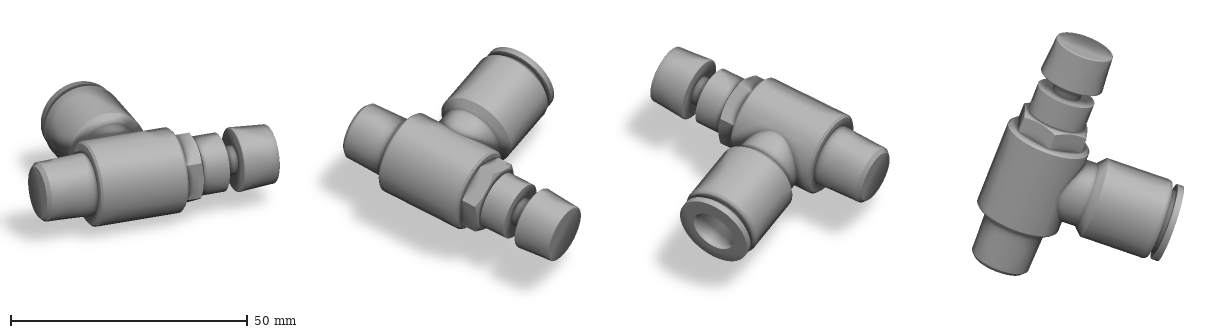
import cadquery as cq
import math


body_diameter = 18.4
body_length = 19.75
body_chamfer = 0.45
body_top = body_length / 2
body_bottom = -body_length / 2

plug_length = 11.1
plug_base_diameter = 13.55
plug_tip_diameter = 12.8
plug_end_diameter = 11.2
plug_chamfer_length = 0.85

hex_across_flats = 14.05
hex_height = 4.15
hex_top_bevel = 0.6
hex_bottom_bevel = 0.3
neck_diameter = 11.2
neck_length = 0.35
collar_diameter = 12.7
collar_length = 5.8
stem_diameter = 6.35
stem_length = 3.1
knob_length = 8.3
knob_base_diameter = 13.95
knob_top_diameter = 12.7
knob_edge_radius = 0.3

port_reach = 30.9
release_ring_diameter = 16.8
release_ring_length = 1.35
sleeve_diameter = 17.6
port_neck_diameter = 14.1
sleeve_start = 2.55
sleeve_lip_length = 1.25
sleeve_lip_drop = 0.4
sleeve_end = 17.25
port_cone_length = (sleeve_diameter - port_neck_diameter) / 2
bore_diameter = 10.0


def frustum(start, length, start_diameter, end_diameter):
    """Round section along +Y, straight or tapered."""
    return (
        cq.Workplane("XY")
        .moveTo(0, start)
        .lineTo(start_diameter / 2, start)
        .lineTo(end_diameter / 2, start + length)
        .lineTo(0, start + length)
        .close()
        .revolve(360, (0, 0, 0), (0, 1, 0))
    )


def cylinder(start, length, diameter):
    return frustum(start, length, diameter, diameter)


def make_body():
    return cylinder(body_bottom, body_length, body_diameter).faces("<Y or >Y").chamfer(body_chamfer)


def make_plug():
    tip = body_bottom - plug_length
    shoulder = tip + plug_chamfer_length
    taper = frustum(shoulder, body_bottom - shoulder, plug_tip_diameter, plug_base_diameter)
    return taper.union(frustum(tip, plug_chamfer_length, plug_end_diameter, plug_tip_diameter))


def make_hex():
    """Hexagonal nut with two flats facing +X and -X and its corners bevelled at both ends."""
    corner_diameter = hex_across_flats / math.cos(math.pi / 6)
    prism = (
        cq.Workplane("XZ", origin=(0, body_top, 0))
        .transformed(rotate=(0, 0, 30))
        .polygon(6, corner_diameter)
        .extrude(-hex_height)
    )
    hex_top = body_top + hex_height
    envelope = (
        cq.Workplane("XY")
        .moveTo(0, body_top)
        .lineTo(hex_across_flats / 2, body_top)
        .lineTo(corner_diameter / 2, body_top + hex_bottom_bevel)
        .lineTo(corner_diameter / 2, hex_top - hex_top_bevel)
        .lineTo(hex_across_flats / 2, hex_top)
        .lineTo(0, hex_top)
        .close()
        .revolve(360, (0, 0, 0), (0, 1, 0))
    )
    return prism.intersect(envelope)


def make_spindle():
    neck_start = body_top + hex_height
    collar_start = neck_start + neck_length
    stem_start = collar_start + collar_length
    knob_start = stem_start + stem_length
    knob = frustum(knob_start, knob_length, knob_base_diameter, knob_top_diameter)
    return (
        cylinder(neck_start, neck_length, neck_diameter)
        .union(cylinder(collar_start, collar_length, collar_diameter))
        .union(cylinder(stem_start, stem_length, stem_diameter))
        .union(knob.faces("<Y or >Y").edges().fillet(knob_edge_radius))
    )


def make_port():
    """Hollow port; the bore ends on the outer surface of the main body."""
    face = -port_reach
    ring_radius = release_ring_diameter / 2
    neck_radius = port_neck_diameter / 2
    sleeve_radius = sleeve_diameter / 2
    bore_radius = bore_diameter / 2
    lip_middle = (
        face + sleeve_start + sleeve_lip_length * (1 - math.cos(math.pi / 4)),
        sleeve_radius - sleeve_lip_drop * (1 - math.sin(math.pi / 4)),
    )
    return (
        cq.Workplane("XY")
        .moveTo(face, bore_radius)
        .lineTo(face, ring_radius)
        .lineTo(face + release_ring_length, ring_radius)
        .lineTo(face + release_ring_length, neck_radius)
        .lineTo(face + sleeve_start, neck_radius)
        .lineTo(face + sleeve_start, sleeve_radius - sleeve_lip_drop)
        .threePointArc(lip_middle, (face + sleeve_start + sleeve_lip_length, sleeve_radius))
        .lineTo(face + sleeve_end, sleeve_radius)
        .lineTo(face + sleeve_end + port_cone_length, neck_radius)
        .lineTo(0, neck_radius)
        .lineTo(0, bore_radius)
        .close()
        .revolve(360, (0, 0, 0), (1, 0, 0))
    )


result = make_body().union(make_plug()).union(make_hex()).union(make_spindle()).union(make_port())